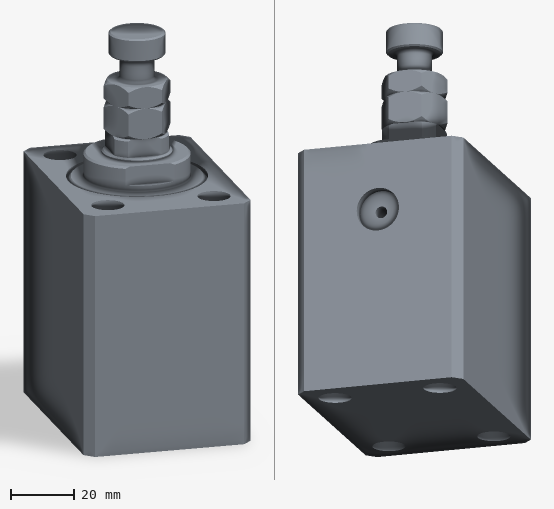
import cadquery as cq
import math

BLOCK_X = 75.0
BLOCK_Y = 55.0
BLOCK_HEIGHT = 80.0
BLOCK_CORNER_CHAMFER = 3.0
MOUNT_HOLE_DIA = 10.5
MOUNT_SPACING_X = 55.0
MOUNT_SPACING_Y = 35.0

PORT_DIA = 14.1
PORT_DEPTH = 3.6
PORT_BELOW_TOP = 22.0
FEED_HOLE_DIA = 3.8

PLUG_DIA = 45.0
PLUG_DEPTH = 30.7
PLUG_CHAMFER = 1.5
BOSS_DIA = 34.0
BOSS_HEIGHT = 8.0
BOSS_CHAMFER = 0.6
BOSS_ROOT_RADIUS = 0.5
BOSS_FLATS_WIDTH = 30.0
BOSS_FLATS_ABOVE_BLOCK = 1.9
COLLAR_DIA = 22.5
COLLAR_HEIGHT = 1.0
COLLAR_CHAMFER = 0.5
NOSE_WIDTH = 18.0
NOSE_CORNER_DIA = 21.1
NOSE_CHAMFER = 0.5

HEX_FLATS_WIDTH = 19.1
NUT_HEIGHT = 10.1
BOLT_HEX_HEIGHT = 7.2
NECK_DIA = 11.0
NECK_HEIGHT = 8.0
NECK_FILLET = 1.0
HEAD_DIA = 18.0
HEAD_HEIGHT = 7.7
HEAD_CHAMFER = 0.5
SHANK_DIA = 12.0

TOTAL_HEIGHT = 128.0
HEAD_BOTTOM = TOTAL_HEIGHT - HEAD_HEIGHT
BOLT_HEX_TOP = HEAD_BOTTOM - NECK_HEIGHT
NUT_TOP = BOLT_HEX_TOP - BOLT_HEX_HEIGHT
NUT_BOTTOM = NUT_TOP - NUT_HEIGHT
BOSS_TOP = BLOCK_HEIGHT + BOSS_HEIGHT
COLLAR_TOP = BOSS_TOP + COLLAR_HEIGHT
PLUG_BOTTOM = BLOCK_HEIGHT - PLUG_DEPTH
SHANK_BOTTOM = BOSS_TOP
PORT_Z = BLOCK_HEIGHT - PORT_BELOW_TOP


def cylinder(diameter, bottom, top):
    """Upright cylinder on the Z axis between two levels."""
    return cq.Workplane("XY", origin=(0, 0, bottom)).circle(diameter / 2).extrude(top - bottom)


def square_bar(width, bottom, top):
    """Upright square bar on the Z axis between two levels."""
    return cq.Workplane("XY", origin=(0, 0, bottom)).rect(width, width).extrude(top - bottom)


def chamfered_hexagon(bottom, top):
    """Upright hexagon with flats facing -X and +X and its corners turned to 45 degree cones at both ends."""
    corner_dia = HEX_FLATS_WIDTH / math.cos(math.radians(30))
    corner_chamfer = (corner_dia - HEX_FLATS_WIDTH) / 2
    hexagon = (
        cq.Workplane("XY", origin=(0, 0, bottom))
        .polygon(6, corner_dia)
        .extrude(top - bottom)
        .rotate((0, 0, 0), (0, 0, 1), 30)
    )
    turned_blank = cylinder(corner_dia, bottom, top).faces("<Z or >Z").chamfer(corner_chamfer)
    return hexagon.intersect(turned_blank)


def make_housing():
    block = (
        cq.Workplane("XY")
        .rect(BLOCK_X, BLOCK_Y)
        .extrude(BLOCK_HEIGHT)
        .edges("|Z")
        .chamfer(BLOCK_CORNER_CHAMFER)
    )
    mount_holes = (
        cq.Workplane("XY")
        .rect(MOUNT_SPACING_X, MOUNT_SPACING_Y, forConstruction=True)
        .vertices()
        .circle(MOUNT_HOLE_DIA / 2)
        .extrude(BLOCK_HEIGHT)
    )
    plug_bore = cylinder(PLUG_DIA, PLUG_BOTTOM, BLOCK_HEIGHT)
    port_plane = cq.Workplane("YZ", origin=(-BLOCK_X / 2, 0, PORT_Z))
    port = port_plane.circle(PORT_DIA / 2).extrude(PORT_DEPTH)
    feed_hole = port_plane.circle(FEED_HOLE_DIA / 2).extrude(BLOCK_X / 2)
    return block.cut(mount_holes).cut(plug_bore).cut(port).cut(feed_hole)


def make_boss():
    boss = cylinder(BOSS_DIA, BLOCK_HEIGHT, BOSS_TOP).faces(">Z").chamfer(BOSS_CHAMFER)
    flats_bottom = BLOCK_HEIGHT + BOSS_FLATS_ABOVE_BLOCK
    round_base = cylinder(BOSS_DIA, BLOCK_HEIGHT, flats_bottom)
    between_flats = (
        cq.Workplane("XY", origin=(0, 0, BLOCK_HEIGHT))
        .rect(BOSS_FLATS_WIDTH, BOSS_DIA)
        .extrude(BOSS_HEIGHT)
    )
    return boss.intersect(round_base.union(between_flats))


def make_nose():
    rounded = cylinder(NOSE_CORNER_DIA, COLLAR_TOP, NUT_BOTTOM).faces(">Z").chamfer(NOSE_CHAMFER)
    return rounded.intersect(square_bar(NOSE_WIDTH, COLLAR_TOP, NUT_BOTTOM))


def make_insert():
    plug = cylinder(PLUG_DIA, PLUG_BOTTOM, BLOCK_HEIGHT).faces(">Z").chamfer(PLUG_CHAMFER)
    plug_with_boss = plug.union(make_boss())
    top_circles = plug_with_boss.edges(
        cq.selectors.BoxSelector(
            (-BOSS_DIA, -BOSS_DIA, BLOCK_HEIGHT - BOSS_ROOT_RADIUS),
            (BOSS_DIA, BOSS_DIA, BLOCK_HEIGHT + BOSS_ROOT_RADIUS),
        )
    )
    boss_root = top_circles.edges(cq.selectors.RadiusNthSelector(0)).val()
    plug_with_boss = plug_with_boss.newObject([boss_root]).fillet(BOSS_ROOT_RADIUS)
    collar = cylinder(COLLAR_DIA, BOSS_TOP, COLLAR_TOP).faces(">Z").chamfer(COLLAR_CHAMFER)
    shank_socket = cylinder(SHANK_DIA, SHANK_BOTTOM, NUT_BOTTOM)
    return plug_with_boss.union(collar).union(make_nose()).cut(shank_socket)


def make_nut():
    return chamfered_hexagon(NUT_BOTTOM, NUT_TOP).cut(cylinder(SHANK_DIA, NUT_BOTTOM, NUT_TOP))


def make_bolt():
    shank = cylinder(SHANK_DIA, SHANK_BOTTOM, NUT_TOP)
    hexagon = chamfered_hexagon(NUT_TOP, BOLT_HEX_TOP)
    neck_radius = NECK_DIA / 2
    fillet_edge = neck_radius + NECK_FILLET
    arc_offset = NECK_FILLET * (1 - math.sqrt(0.5))
    neck = (
        cq.Workplane("XZ")
        .moveTo(0, BOLT_HEX_TOP)
        .lineTo(-fillet_edge, BOLT_HEX_TOP)
        .threePointArc(
            (-neck_radius - arc_offset, BOLT_HEX_TOP + arc_offset),
            (-neck_radius, BOLT_HEX_TOP + NECK_FILLET),
        )
        .lineTo(-neck_radius, HEAD_BOTTOM - NECK_FILLET)
        .threePointArc(
            (-neck_radius - arc_offset, HEAD_BOTTOM - arc_offset),
            (-fillet_edge, HEAD_BOTTOM),
        )
        .lineTo(0, HEAD_BOTTOM)
        .close()
        .revolve(360, (0, 0), (0, 1))
    )
    head = cylinder(HEAD_DIA, HEAD_BOTTOM, TOTAL_HEIGHT).faces("<Z or >Z").chamfer(HEAD_CHAMFER)
    return shank.union(hexagon).union(neck).union(head)


housing = make_housing()
insert = make_insert()
lock_nut = make_nut()
coupling_bolt = make_bolt()

result = cq.Compound.makeCompound([housing.val(), insert.val(), lock_nut.val(), coupling_bolt.val()])